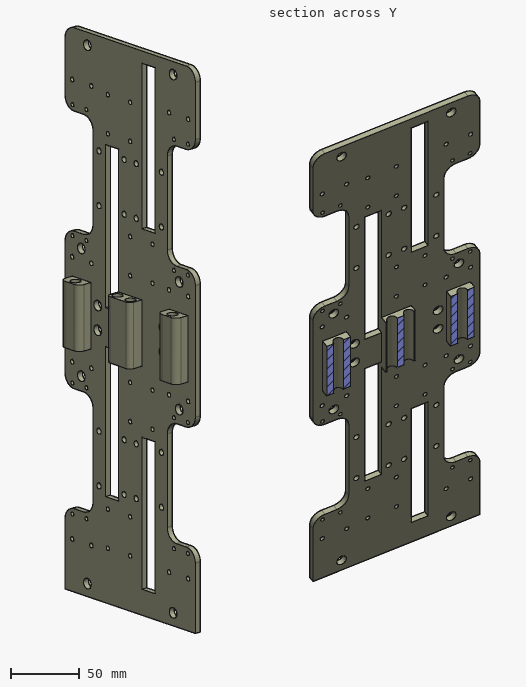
import cadquery as cq

PLATE_THICKNESS = 5.0
TOTAL_DEPTH = 17.0
PLATE_LENGTH = 433.03
PLATE_TOP_Z = PLATE_LENGTH / 2
PLATE_BOTTOM_Z = -PLATE_TOP_Z

LOBE_HALF_WIDTH = 70.0
WAIST_HALF_WIDTH = 40.0
MIDDLE_LOBE_HALF_LENGTH = 60.5
END_LOBE_INNER_Z = 152.5
CORNER_RADIUS = 10.0
WAIST_RADIUS = 10.0

SLOT_WIDTH = 14.0
SLOT_X = 19.5
SLOTS = [
    (SLOT_X, 80.0, 207.0),
    (SLOT_X, -196.5, -80.0),
    (-SLOT_X, 10.0, 135.0),
    (-SLOT_X, -135.0, -20.0),
]

MOUNTING_HOLE_DIAMETER = 8.0
MOUNTING_HOLES = [(46.0, 206.5), (52.5, 49.0), (35.0, 9.5)]

RAIL_HOLE_DIAMETER = 4.5
RAIL_HOLES = [(x, z) for x in (6.5, 33.5) for z in (86.5, 128.5)]

BRACKET_HOLE_DIAMETER = 3.5
BRACKET_HOLES = [(x, z) for x in (41.75, 62.25) for z in (40.25, 176.25)]
EDGE_HOLE_DIAMETER = 3.0
EDGE_HOLES = [(x, z) for x in (47.0, 62.0) for z in (56.5, 157.0)]

BOARD_HOLE_DIAMETER = 3.3
BOARD_PITCH_X = 24.0
BOARD_PITCH_Z = 30.0
BOARD_MIDDLE_Z = 41.0
BOARD_END_Z = 144.0

BLOCK_HALF_LENGTH = 25.5
BORE_DIAMETER = 8.0
BORE_Y = -6.0
SIDE_BLOCK_X = 52.0
SIDE_BLOCK_WIDTH = 20.0
SIDE_BLOCK_RADIUS = 5.0
CENTRE_BLOCK_WIDTH = 25.0
CENTRE_BLOCK_RADIUS = 4.0
CENTRE_BORE_X = 7.0

BLOCK_HEIGHT = TOTAL_DEPTH - PLATE_THICKNESS


def front_plane():
    """Plane of the plate's front face: local x is X, local y is Z, normal is -Y."""
    return cq.Workplane("XZ")


def plate_box(half_width, z_low, z_high):
    return (
        front_plane()
        .center(0, (z_low + z_high) / 2)
        .rect(2 * half_width, z_high - z_low)
        .extrude(-PLATE_THICKNESS)
    )


def edges_at(plate, half_width, z_levels):
    """Thickness-direction edges at X = +/-half_width on the given Z levels."""
    selector = None
    reach = 0.5
    for x in (-half_width, half_width):
        for z in z_levels:
            box = cq.selectors.BoxSelector(
                (x - reach, -reach, z - reach), (x + reach, PLATE_THICKNESS + reach, z + reach)
            )
            selector = box if selector is None else selector + box
    return plate.edges("|Y").edges(selector)


def make_plate():
    plate = plate_box(WAIST_HALF_WIDTH, -END_LOBE_INNER_Z, END_LOBE_INNER_Z)
    lobes = [
        (PLATE_BOTTOM_Z, -END_LOBE_INNER_Z),
        (-MIDDLE_LOBE_HALF_LENGTH, MIDDLE_LOBE_HALF_LENGTH),
        (END_LOBE_INNER_Z, PLATE_TOP_Z),
    ]
    for z_low, z_high in lobes:
        plate = plate.union(plate_box(LOBE_HALF_WIDTH, z_low, z_high))
    waist_ends = [-END_LOBE_INNER_Z, -MIDDLE_LOBE_HALF_LENGTH, MIDDLE_LOBE_HALF_LENGTH, END_LOBE_INNER_Z]
    plate = edges_at(plate, LOBE_HALF_WIDTH, waist_ends + [PLATE_TOP_Z]).fillet(CORNER_RADIUS)
    return edges_at(plate, WAIST_HALF_WIDTH, waist_ends).fillet(WAIST_RADIUS)


def cut_slots(plate):
    for x, z_low, z_high in SLOTS:
        slot = plate_box(SLOT_WIDTH / 2, z_low, z_high).translate((x, 0, 0))
        plate = plate.cut(slot)
    return plate


def drill(plate, points, diameter):
    holes = front_plane().pushPoints(points).circle(diameter / 2).extrude(-PLATE_THICKNESS)
    return plate.cut(holes)


def mirrored(points):
    """Repeat points in all four quadrants of the plate."""
    return [(sx * x, sz * z) for x, z in points for sx in (-1, 1) for sz in (-1, 1)]


def board_holes():
    points = []
    for side in (-1, 1):
        for row in (0, BOARD_PITCH_Z):
            middle_z = side * (BOARD_MIDDLE_Z + row)
            end_z = side * (BOARD_END_Z + row)
            points += [(0, middle_z), (BOARD_PITCH_X, middle_z)]
            points += [(0, end_z), (-BOARD_PITCH_X, end_z)]
    return points


def make_block(x, width, radius, bore_offsets):
    block = (
        cq.Workplane("XY")
        .box(width, BLOCK_HEIGHT, 2 * BLOCK_HALF_LENGTH)
        .translate((x, -BLOCK_HEIGHT / 2, 0))
        .edges("|Z and <Y")
        .fillet(radius)
    )
    bores = (
        cq.Workplane("XY")
        .workplane(offset=-BLOCK_HALF_LENGTH)
        .pushPoints([(x + offset, BORE_Y) for offset in bore_offsets])
        .circle(BORE_DIAMETER / 2)
        .extrude(2 * BLOCK_HALF_LENGTH)
    )
    return block.cut(bores)


result = cut_slots(make_plate())
result = drill(result, mirrored(MOUNTING_HOLES), MOUNTING_HOLE_DIAMETER)
result = drill(result, mirrored(RAIL_HOLES), RAIL_HOLE_DIAMETER)
result = drill(result, mirrored(BRACKET_HOLES), BRACKET_HOLE_DIAMETER)
result = drill(result, mirrored(EDGE_HOLES), EDGE_HOLE_DIAMETER)
result = drill(result, board_holes(), BOARD_HOLE_DIAMETER)

for block_x in (-SIDE_BLOCK_X, SIDE_BLOCK_X):
    result = result.union(make_block(block_x, SIDE_BLOCK_WIDTH, SIDE_BLOCK_RADIUS, [0]))
result = result.union(
    make_block(0, CENTRE_BLOCK_WIDTH, CENTRE_BLOCK_RADIUS, [-CENTRE_BORE_X, CENTRE_BORE_X])
)